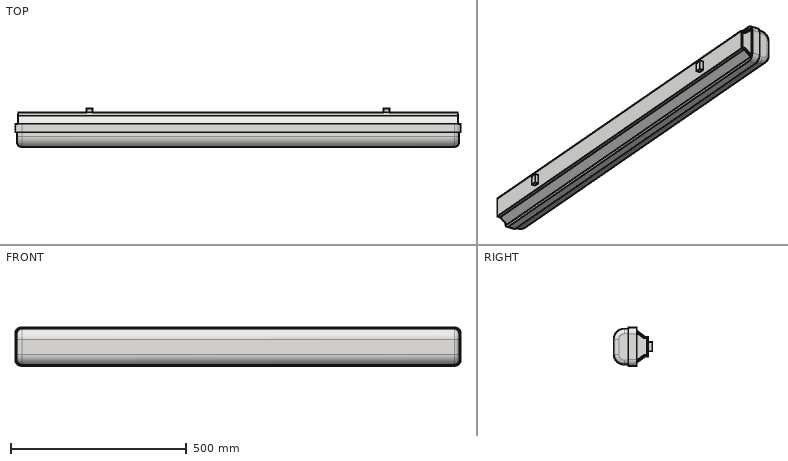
import cadquery as cq
import math

LENGTH = 1271.0
HEIGHT = 110.0
DEPTH = 110.0
FRONT_Y = -DEPTH / 2

RIM_FRONT_Y = FRONT_Y + 42.0
RIM_BACK_Y = FRONT_Y + 66.0
RIM_CORNER_RADIUS = 19.0
COVER_INSET = 5.0
COVER_LENGTH = LENGTH - 2 * COVER_INSET
COVER_HEIGHT = 103.0
COVER_EDGE_RADIUS = 30.0
COVER_END_RADIUS = RIM_CORNER_RADIUS - COVER_INSET

HOUSING_LENGTH = 1253.0
HOUSING_BACK_Y = FRONT_Y + 99.0
HOUSING_SIDE_DEPTH = 10.0
HOUSING_FRONT_HEIGHT = 92.0
HOUSING_BACK_HEIGHT = 57.0
END_PAD_INSET = 5.0
END_PAD_THICKNESS = 1.0

STUD_SPACING = 846.0
STUD_LENGTH = 18.0
STUD_HEIGHT = 27.0


def block(length, height, front_y, back_y):
    """Box centred on X and Z, spanning the given Y range."""
    box = cq.Workplane("XY").box(length, back_y - front_y, height)
    return box.translate((0, (front_y + back_y) / 2, 0))


def make_diffuser():
    """Trough with rounded long edges and ends, joined to its rim."""
    cover = block(COVER_LENGTH, COVER_HEIGHT, FRONT_Y, RIM_FRONT_Y)
    cover = cover.faces("<Y").edges("|X").fillet(COVER_EDGE_RADIUS)
    for end in ("<X", ">X"):
        cover = cover.faces(end).edges("not(>Y)").fillet(COVER_END_RADIUS)
    rim = block(LENGTH, HEIGHT, RIM_FRONT_Y, RIM_BACK_Y)
    rim = rim.edges("|Y").fillet(RIM_CORNER_RADIUS)
    return rim.union(cover)


def tapered_bar(length, inset):
    """Bar along X with the housing section, its sloped and back faces moved in by inset."""
    shoulder_y = HOUSING_BACK_Y - HOUSING_SIDE_DEPTH
    back_y = HOUSING_BACK_Y - inset
    front_z = HOUSING_FRONT_HEIGHT / 2
    back_z = HOUSING_BACK_HEIGHT / 2
    slope = (front_z - back_z) / (shoulder_y - RIM_BACK_Y)
    slope_drop = inset * math.hypot(1, slope)
    inner_front_z = front_z - slope_drop
    inner_back_z = back_z - inset
    inner_shoulder_y = RIM_BACK_Y + (inner_front_z - inner_back_z) / slope
    return (
        cq.Workplane("YZ")
        .moveTo(RIM_BACK_Y, -inner_front_z)
        .lineTo(inner_shoulder_y, -inner_back_z)
        .lineTo(back_y, -inner_back_z)
        .lineTo(back_y, inner_back_z)
        .lineTo(inner_shoulder_y, inner_back_z)
        .lineTo(RIM_BACK_Y, inner_front_z)
        .close()
        .extrude(length / 2, both=True)
    )


def make_housing():
    """Tapered tray with a raised pad on each end and mounting studs on its back."""
    housing = tapered_bar(HOUSING_LENGTH, 0)
    pads_length = HOUSING_LENGTH + 2 * END_PAD_THICKNESS
    housing = housing.union(tapered_bar(pads_length, END_PAD_INSET))
    stud = block(STUD_LENGTH, STUD_HEIGHT, HOUSING_BACK_Y, DEPTH / 2)
    for side in (-1, 1):
        housing = housing.union(stud.translate((side * STUD_SPACING / 2, 0, 0)))
    return housing


diffuser = make_diffuser()
housing = make_housing()

result = cq.Compound.makeCompound([diffuser.val(), housing.val()])